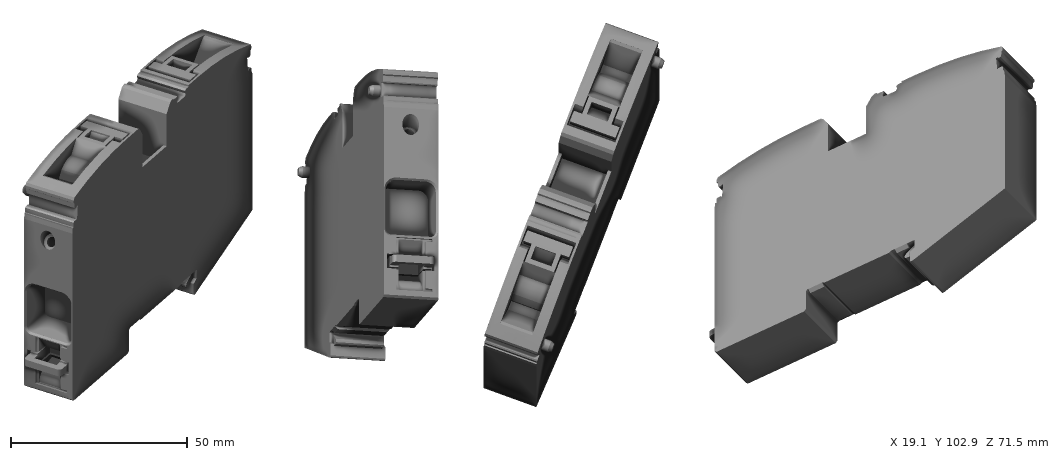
import cadquery as cq
import math

width = 16.0
length = 99.4
height = 71.5
seam_x = 7.8
funnel_center_x = width / 2

shoulder_z = 57.6
tower_front_y = 38.8
tower_back_y = 52.0
tower_bevel_z = 68.2
crown_tangent_y = 30.1
crown_end_y = 1.1
crown_radius = 98.8
crown_center_z = height - crown_radius

rail_front_y = 31.3
rail_back_y = 68.4
rail_top_z = 7.5
rail_relief_z = 7.9
relief_front_y = 37.6
relief_back_y = 59.7
rail_lip_y = 66.9
back_heel_z = 11.7
bottom_bevel = 0.6

hook_inset = 1.0
foot_bottom_z = 7.1
foot_ranges = [(32.1, 36.8), (61.8, 65.9)]

side_wall = 1.0
saddle_depth = 5.1

funnel_width = 9.7
funnel_front_y = 5.0
funnel_floor_z = 62.0
funnel_floor_front_y = 11.3
nose_front_y = 14.0
stem_front_y = 23.8
stem_width = 8.9
bar_front_y = 29.3
bar_back_y = 32.6
bar_width = 13.8
bar_bottom_z = 68.4
bar_slot_front_y = 27.3
bar_slot_back_y = 34.0
bar_slot_width = 14.7
bar_slot_floor_front_y = 29.1
bar_slot_floor_back_y = 32.8
lever_hole_width = 6.3
lever_hole_front_y = 25.1
lever_hole_back_y = 29.0
lever_hole_depth = 6.2
lever_hole_ledge_z = 71.0

test_hole_z = 51.0
test_hole_diameter = 4.8
test_hole_depth = 2.8
probe_diameter = 3.0
probe_depth = 8.2
test_hole_tilt = 38.0

label_margin = 0.7
label_bottom_z = 18.5
label_top_z = 34.7
label_depth = 10.3
label_top_radius = 3.0
label_bottom_radius = 1.5
label_rim = 0.5

window_left_x = 3.7
window_right_x = 12.1
window_bottom_z = 2.3
window_top_z = 17.7
window_lip = 0.7
slot_left_x = 0.9
slot_right_x = 14.7
slot_bottom_z = 8.4
slot_top_z = 12.7
slot_depth = 10.3
latch_left_x = 1.9
latch_right_x = 14.1
latch_bottom_z = 9.5
latch_thickness = 2.2
guide_front_y = 0.3
guide_margin = 0.5
latch_reach = 3.5
latch_bar = 2.0
latch_arm = 2.5
latch_hole_back_y = 7.2
latch_corner_radius = 1.2

plate_right_x = 14.1
plate_depth = 3.1
tongue_bottom_z = 3.1
tongue_top_z = 16.9

pin_radius = 1.6
pin_length = 3.1
pin_y = 5.4
pin_z = 61.9
pin_bevel_length = 1.0
pin_bevel = 0.5


def box(x0, x1, y0, y1, z0, z1):
    """Axis-aligned block between the given limits."""
    return cq.Workplane("XY").box(x1 - x0, y1 - y0, z1 - z0, centered=False).translate((x0, y0, z0))


def along_x(outline, x0, x1):
    """Extrude a YZ outline from x0 to x1."""
    return outline.extrude(x1 - x0).translate((x0, 0, 0))


def centered_along_x(outline, span):
    """Extrude a YZ outline symmetrically about the funnel centre."""
    return along_x(outline, funnel_center_x - span / 2, funnel_center_x + span / 2)


def polygon(points):
    return cq.Workplane("YZ").polyline(points).close()


def to_back(body):
    """Mirror a front body to the back end of the housing."""
    return body.mirror("XZ").translate((0, length, 0))


def crown_z(y):
    """Height of the curved crown of the front tower."""
    reach = min(y - crown_tangent_y, 0)
    return crown_center_z + math.sqrt(crown_radius**2 - reach**2)


def housing_blank():
    crown_mid_y = (crown_end_y + crown_tangent_y) / 2
    end_steps = [
        (0, 55.8), (0.2, 57.2), (0.2, shoulder_z), (0.6, shoulder_z), (0.6, 59.1), (1.0, 59.4), (2.2, 59.4),
        (2.6, 59.1), (3.0, 63.6), (2.5, 63.6), (2.2, 63.3), (1.4, 63.3), (1.2, 63.6), (1.1, 65.3),
        (0.7, 65.6), (0.7, 66.4),
        (crown_end_y, crown_z(crown_end_y)),
    ]
    back_steps = [(length - y, z) for y, z in reversed(end_steps)]
    front_tower = [(36.4, height), (37.4, 70.8), (tower_front_y, tower_bevel_z), (tower_front_y, shoulder_z)]
    clip_groove = [
        (tower_back_y, shoulder_z), (tower_back_y, tower_bevel_z), (53.9, 71.1), (55.0, height),
        (55.6, height), (55.9, 71.0), (57.9, 71.0), (57.9, 70.2), (57.5, 69.6), (57.9, 68.9), (62.2, 68.9),
        (62.6, 69.6), (62.2, 70.6), (62.8, 71.0), (64.1, 71.0), (64.1, height),
    ]
    underside = [
        (length, back_heel_z), (67.8, 0.3), (67.2, 0.3), (rail_lip_y, 0.7), (rail_lip_y, 4.1),
        (rail_back_y, 5.0), (rail_back_y, rail_relief_z),
        (relief_back_y + 0.6, rail_relief_z), (relief_back_y, rail_top_z),
        (relief_front_y, rail_top_z), (relief_front_y - 0.6, rail_relief_z),
        (rail_front_y + 0.5, rail_relief_z), (rail_front_y, rail_relief_z - 0.5),
        (rail_front_y, bottom_bevel), (rail_front_y - bottom_bevel, 0),
        (bottom_bevel, 0), (0, bottom_bevel),
    ]
    outline = cq.Workplane("YZ").polyline(end_steps)
    outline = outline.threePointArc((crown_mid_y, crown_z(crown_mid_y)), (crown_tangent_y, height))
    for point in front_tower + clip_groove + [(length - crown_tangent_y, height)]:
        outline = outline.lineTo(*point)
    outline = outline.threePointArc((length - crown_mid_y, crown_z(crown_mid_y)), back_steps[0])
    for point in back_steps[1:] + underside:
        outline = outline.lineTo(*point)
    return along_x(outline.close(), 0, width)


def rail_hook():
    profile = [
        (rail_back_y, rail_relief_z - 0.4), (64.8, 5.1), (64.4, 4.5), (64.4, 4.0), (64.8, 3.6),
        (rail_lip_y, 3.6), (rail_back_y, 3.6),
    ]
    return along_x(polygon(profile), hook_inset, width - hook_inset)


def rail_feet():
    feet = cq.Workplane("XZ")
    section = [
        (0, rail_relief_z), (hook_inset, foot_bottom_z),
        (width - hook_inset, foot_bottom_z), (width, rail_relief_z),
    ]
    bodies = []
    for start_y, end_y in foot_ranges:
        foot = feet.polyline(section).close().extrude(start_y - end_y)
        bodies.append(foot.translate((0, start_y, 0)))
    return bodies


def saddle_pocket():
    return box(side_wall, width - side_wall, tower_front_y, tower_back_y,
               shoulder_z - saddle_depth, shoulder_z)


def wire_funnel():
    """Funnel and lever opening of the front tower."""
    profile = [
        (funnel_front_y, height), (funnel_front_y, 68.2), (6.0, 67.9),
        (funnel_floor_front_y, funnel_floor_z), (bar_front_y, funnel_floor_z), (bar_front_y, height),
    ]
    funnel = centered_along_x(polygon(profile), funnel_width)
    slot_profile = [
        (bar_slot_front_y, height), (bar_slot_floor_front_y, bar_bottom_z),
        (bar_slot_floor_back_y, bar_bottom_z), (bar_slot_back_y, height),
    ]
    return funnel.union(centered_along_x(polygon(slot_profile), bar_slot_width))


def lever():
    """Release lever: rounded nose, stem with a square hole, and a cross bar."""
    nose = (
        cq.Workplane("YZ")
        .moveTo(nose_front_y, funnel_floor_z)
        .lineTo(nose_front_y, 62.8)
        .lineTo(15.4, 64.9)
        .threePointArc((17.9, 66.6), (20.8, 67.0))
        .lineTo(stem_front_y, crown_z(stem_front_y))
        .lineTo(stem_front_y, funnel_floor_z)
        .close()
    )

    def crowned_block(start_y, bottom_z, end_y):
        mid_y = (start_y + crown_tangent_y) / 2
        return (
            cq.Workplane("YZ")
            .moveTo(start_y, bottom_z)
            .lineTo(start_y, crown_z(start_y))
            .threePointArc((mid_y, crown_z(mid_y)), (crown_tangent_y, height))
            .lineTo(end_y, height)
            .lineTo(end_y, bottom_z)
            .close()
        )

    base = box(funnel_center_x - stem_width / 2, funnel_center_x + stem_width / 2,
               stem_front_y, bar_front_y, funnel_floor_z, bar_bottom_z)
    stem = centered_along_x(crowned_block(stem_front_y, bar_bottom_z, bar_back_y), stem_width)
    bar = centered_along_x(crowned_block(bar_front_y, bar_bottom_z, bar_back_y), bar_width)
    hole_profile = [
        (lever_hole_front_y, height), (lever_hole_front_y, height - lever_hole_depth),
        (lever_hole_back_y, lever_hole_ledge_z), (lever_hole_back_y, height),
    ]
    hole = centered_along_x(polygon(hole_profile), lever_hole_width)
    return centered_along_x(nose, funnel_width).union(base).union(stem).union(bar).cut(hole)


def test_hole():
    """Stepped hole that runs down into the front face."""
    overshoot = 5.1
    tilt = math.radians(test_hole_tilt)
    inward = cq.Vector(0, math.cos(tilt), -math.sin(tilt))
    entry = cq.Vector(seam_x, 0, test_hole_z)
    wide = cq.Solid.makeCylinder(test_hole_diameter / 2, test_hole_depth + overshoot,
                                 entry - inward * overshoot, inward)
    narrow = cq.Solid.makeCylinder(probe_diameter / 2, probe_depth, entry, inward)
    return cq.Workplane(wide).union(cq.Workplane(narrow))


def label_pocket():
    """Rounded pocket with a bevelled rim."""
    def outline(depth, margin, grow):
        pocket = box(margin, width - margin, 0, depth, label_bottom_z - grow, label_top_z + grow)
        pocket = pocket.edges("|Y and >Z").fillet(label_top_radius + grow)
        return pocket.edges("|Y and <Z").fillet(label_bottom_radius + grow)

    pocket = outline(label_depth, label_margin, 0)
    rim = outline(label_rim, label_margin - label_rim, label_rim)
    rim = rim.faces(">Y").chamfer(label_rim * 0.99)
    return pocket.union(rim)


def latch_window():
    """Front opening behind the latch, with a sloping ceiling and a rounded floor."""
    frame = box(window_left_x, window_right_x, 0, window_lip, window_bottom_z, window_top_z)
    low_gap = box(window_right_x, plate_right_x, 0, window_lip, window_bottom_z, tongue_bottom_z)
    high_gap = box(window_right_x, plate_right_x, 0, window_lip, tongue_top_z, window_top_z)
    cavity = (
        cq.Workplane("YZ")
        .moveTo(0, 2.5)
        .lineTo(1.0, 2.5)
        .threePointArc((2.0, 4.7), (4.1, 6.2))
        .lineTo(8.0, 7.1)
        .lineTo(window_lip, 17.3)
        .lineTo(0, 17.3)
        .close()
    )
    cavity = along_x(cavity, window_left_x + window_lip, window_right_x - window_lip)
    return frame.union(low_gap).union(high_gap).union(cavity)


def latch_slot():
    return box(slot_left_x, slot_right_x, 0, slot_depth, slot_bottom_z, slot_top_z)


def latch():
    """Slider with a rounded pull handle and a rectangular opening."""
    top_z = latch_bottom_z + latch_thickness
    slider = box(latch_left_x, latch_right_x, -latch_reach, slot_depth, latch_bottom_z, top_z)
    slider = slider.edges("|Z and <Y").fillet(latch_corner_radius)
    guide = box(latch_left_x, latch_right_x, guide_front_y, slot_depth,
                latch_bottom_z - guide_margin, top_z + guide_margin)
    opening = box(latch_left_x + latch_arm, latch_right_x - latch_arm,
                  latch_bar - latch_reach, latch_hole_back_y, latch_bottom_z - guide_margin, top_z + guide_margin)
    return slider.union(guide).cut(opening)


def left_shell_region():
    """Space of the left shell: everything left of the seam, plus the front plate."""
    side = box(0, seam_x, 0, length, 0, height)
    plate = box(seam_x, plate_right_x, 0, plate_depth, 0, label_bottom_z)
    tongue = box(window_right_x - window_lip, plate_right_x, 0, plate_depth, tongue_bottom_z, tongue_top_z)
    return side.union(plate).cut(tongue)


def side_pin(y):
    pin = (
        cq.Workplane("XY")
        .polyline([(0, 0), (0, pin_radius), (pin_bevel_length - pin_length, pin_radius),
                   (-pin_length, pin_radius - pin_bevel), (-pin_length, 0)])
        .close()
        .revolve(360, (0, 0, 0), (1, 0, 0))
    )
    return pin.translate((0, y, pin_z))


housing = housing_blank().union(rail_hook())
for foot in rail_feet():
    housing = housing.union(foot)
front_funnel = wire_funnel()
for opening in [saddle_pocket(), front_funnel, to_back(front_funnel), test_hole(),
                label_pocket(), latch_window(), latch_slot()]:
    housing = housing.cut(opening)
left_region = left_shell_region()
left_shell = housing.intersect(left_region)
right_shell = housing.cut(left_region)

front_lever = lever()
levers = [front_lever, to_back(front_lever)]
pins = [side_pin(y) for y in (pin_y, length - pin_y)]

bodies = [left_shell, right_shell, latch(), *levers, *pins]
result = cq.Compound.makeCompound([solid for body in bodies for solid in body.vals()])